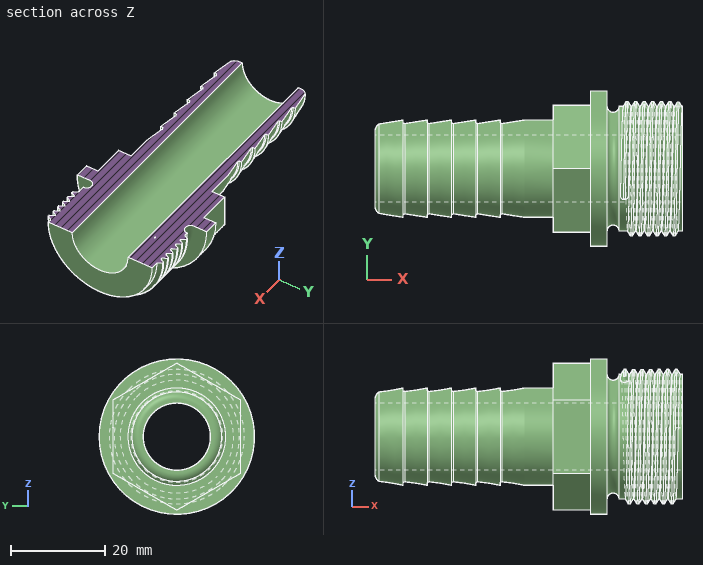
import cadquery as cq
import math

total_length = 65.28
bore_radius = 7.1

tail_radius = 10.35
barb_root_radius = 9.6
barb_count = 5
barb_pitch = 5.15
first_barb_x = 6.0
barb_relief = 0.35
barb_step_radius = 9.75
tip_length = 0.85
tip_radius = 9.5
tip_face_radius = 7.8
tip_round_radius = 2.35

hex_start = 37.8
hex_across_flats = 27.0
flange_start = 45.7
flange_end = 49.28
flange_radius = 16.5

groove_radius = 1.25
spigot_radius = 13.25
thread_radius = 14.3
thread_pitch = 1.814
thread_base_width = 1.78
thread_crest_width = 0.4
thread_embed = 0.1
thread_turns = 6.3
thread_top_x = 53.05
thread_lead_in = 26.0


def barb_tail():
    """Tail with a rounded tip and tapered barbs that step down toward the hexagon."""
    half_angle = math.asin((tip_radius - tip_face_radius) / tip_round_radius) / 2
    tip_mid = (
        tip_round_radius * (1 - math.cos(half_angle)),
        tip_face_radius + tip_round_radius * math.sin(half_angle),
    )
    profile = (
        cq.Workplane("XY")
        .lineTo(0, tip_face_radius)
        .threePointArc(tip_mid, (tip_length, tip_radius))
    )
    for index in range(barb_count):
        barb_x = first_barb_x + index * barb_pitch
        profile = (
            profile.lineTo(barb_x, tail_radius)
            .lineTo(barb_x, barb_step_radius)
            .lineTo(barb_x + barb_relief, barb_root_radius)
        )
    tapers_end = first_barb_x + barb_count * barb_pitch
    profile = profile.lineTo(tapers_end, tail_radius).lineTo(flange_start, tail_radius)
    return profile.lineTo(flange_start, 0).close().revolve(360, (0, 0, 0), (1, 0, 0))


def hexagon():
    """Wrench hexagon with flats on the +Y and -Y sides and corners at the top and bottom."""
    across_corners = hex_across_flats / math.cos(math.pi / 6)
    return (
        cq.Workplane("YZ", origin=(hex_start, 0, 0))
        .transformed(rotate=(0, 0, 90))
        .polygon(6, across_corners)
        .extrude(flange_start - hex_start)
    )


def flange_and_spigot():
    """Flange, half-round groove and plain core of the threaded spigot."""
    groove_end = flange_end + 2 * groove_radius
    groove_bottom = (flange_end + groove_radius, spigot_radius - groove_radius)
    return (
        cq.Workplane("XY")
        .moveTo(flange_start, 0)
        .lineTo(flange_start, flange_radius)
        .lineTo(flange_end, flange_radius)
        .lineTo(flange_end, spigot_radius)
        .threePointArc(groove_bottom, (groove_end, spigot_radius))
        .lineTo(total_length, spigot_radius)
        .lineTo(total_length, 0)
        .close()
        .revolve(360, (0, 0, 0), (1, 0, 0))
    )


def thread():
    """Left-hand ridge wound round the spigot, with a conical start and a square-cut end."""
    core_radius = spigot_radius - thread_embed
    helix = cq.Wire.makeHelix(
        thread_pitch, thread_turns * thread_pitch, core_radius, lefthand=True
    )
    half_base = thread_base_width / 2
    half_crest = thread_crest_width / 2
    ridge = (
        cq.Workplane("XZ")
        .polyline(
            [
                (core_radius, -half_base),
                (thread_radius, -half_crest),
                (thread_radius, half_crest),
                (core_radius, half_base),
            ]
        )
        .close()
        .sweep(cq.Workplane(obj=helix), isFrenet=True)
    )
    start_cap = (
        cq.Workplane("XZ")
        .polyline(
            [
                (core_radius, 0),
                (core_radius, half_base),
                (thread_radius, half_crest),
                (thread_radius, 0),
            ]
        )
        .close()
        .revolve(180, (0, 0, 0), (-1, 0, 0))
    )
    start_x = thread_top_x - thread_pitch * thread_lead_in / 360
    return (
        ridge.union(start_cap)
        .rotate((0, 0, 0), (0, 1, 0), 90)
        .rotate((0, 0, 0), (1, 0, 0), 180 + thread_lead_in)
        .translate((start_x, 0, 0))
    )


bore = cq.Workplane("YZ").circle(bore_radius).extrude(total_length)

body = barb_tail().union(hexagon()).union(flange_and_spigot()).cut(bore)
result = body.union(thread())